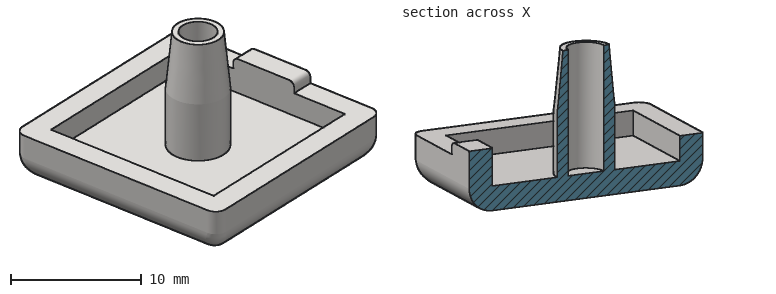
import cadquery as cq

side = 20
tray_height = 4
corner_radius = 1
bottom_radius = 2
wall = 2
floor_thickness = 2

post_diameter = 5
tip_diameter = 4
bore_diameter = 3
taper_start = 7
total_height = 12

tab_width = 6
tab_height = 1
tab_edge_radius = 0.5


def make_tray():
    body = cq.Workplane("XY").box(side, side, tray_height, centered=(True, True, False))
    body = body.edges("|Z").fillet(corner_radius)
    body = body.faces("<Z").edges().fillet(bottom_radius)
    inner_side = side - 2 * wall
    pocket_depth = tray_height - floor_thickness
    return body.faces(">Z").workplane().rect(inner_side, inner_side).cutBlind(-pocket_depth)


def make_post():
    profile = [
        (0, floor_thickness),
        (post_diameter / 2, floor_thickness),
        (post_diameter / 2, taper_start),
        (tip_diameter / 2, total_height),
        (0, total_height),
    ]
    return cq.Workplane("XZ").polyline(profile).close().revolve(360, (0, 0), (0, 1))


def make_bore():
    return cq.Workplane("XY", origin=(0, 0, floor_thickness)).circle(bore_diameter / 2).extrude(total_height)


def make_tab():
    return (
        cq.Workplane("XY", origin=(0, (side - wall) / 2, tray_height))
        .rect(tab_width, wall)
        .extrude(tab_height)
        .edges("|Y and >Z")
        .fillet(tab_edge_radius)
    )


result = make_tray().union(make_post()).union(make_tab()).cut(make_bore())